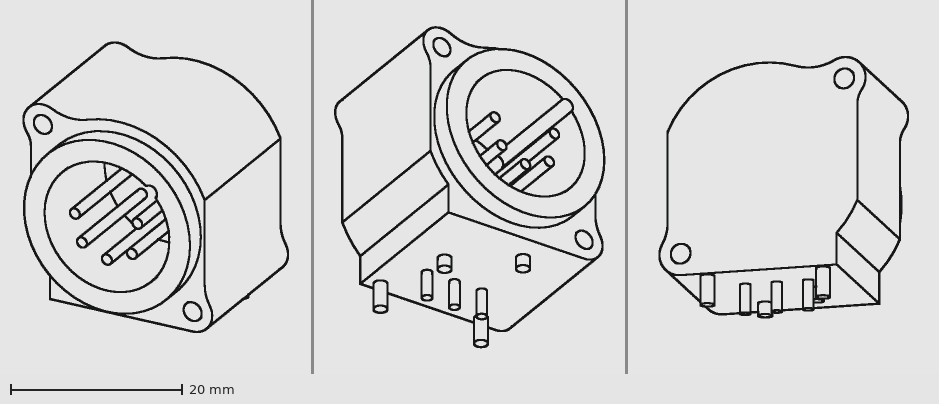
import cadquery as cq
import math

BODY_DEPTH = 18.98
BODY_RADIUS = 12.5
FLAT_X = 11.5
FOOT_X = 9.0
EAR_OFFSET = 9.92
EAR_RADIUS = BODY_RADIUS - EAR_OFFSET
EAR_HOLE_RADIUS = 1.2
TOP_BLEND = 5.98
LEFT_BLEND = 3.0
RIGHT_BLEND = 5.0

BARREL_RADIUS = 11.0
BARREL_LENGTH = 2.7
BORE_RADIUS = 8.26
BORE_DEPTH = 15.0
KEY_RADIUS = 0.88
KEY_DISTANCE = 8.1
KEY_ANGLE = math.radians(45)

CONTACT_RADIUS = 0.65
CONTACTS = [(-4.25, 0.77), (4.02, 1.3), (-3.3, -2.76), (3.3, -2.76), (0, -4.25)]

LEG_LENGTH = 3.48
PEG_LENGTH = 1.5
THICK_RADIUS = 0.83
THIN_RADIUS = 0.63
OUTER_LEG_X = 7.0
INNER_LEG_X = 3.82
OUTER_LEG_Y = BODY_DEPTH - 1.28
INNER_LEG_Y = BODY_DEPTH - 6.38
REAR_PEG_Y = BODY_DEPTH - 10.17
FRONT_PEG_Y = BODY_DEPTH - 15.25


def between(start, end, distance):
    """Point at the given distance from start on the way to end."""
    part = distance / math.dist(start, end)
    return (start[0] + part * (end[0] - start[0]), start[1] + part * (end[1] - start[1]))


def flat_blend(ear, side, radius):
    """Arc tangent to a side flat (side = 1 or -1) and an ear: flat end, middle, ear end."""
    center_x = side * (FLAT_X + radius)
    rise = math.sqrt((EAR_RADIUS + radius) ** 2 - (center_x - ear[0]) ** 2)
    center = (center_x, ear[1] + side * rise)
    flat_end = (side * FLAT_X, center[1])
    ear_end = between(ear, center, EAR_RADIUS)
    chord_middle = ((flat_end[0] + ear_end[0]) / 2, (flat_end[1] + ear_end[1]) / 2)
    return flat_end, between(center, chord_middle, radius), ear_end


def top_blend(ear):
    """Arc tangent to the upper ear and the body arc: ear end, middle, body end."""
    ear_reach = EAR_RADIUS + TOP_BLEND
    body_reach = BODY_RADIUS + TOP_BLEND
    span = math.hypot(*ear)
    along = (body_reach ** 2 - ear_reach ** 2 + span ** 2) / (2 * span)
    angle = math.atan2(ear[1], ear[0]) - math.acos(along / body_reach)
    center = (body_reach * math.cos(angle), body_reach * math.sin(angle))
    ear_end = between(ear, center, EAR_RADIUS)
    body_end = between((0, 0), center, BODY_RADIUS)
    chord_middle = ((ear_end[0] + body_end[0]) / 2, (ear_end[1] + body_end[1]) / 2)
    return ear_end, between(center, chord_middle, TOP_BLEND), body_end


def cylinder(x, z, radius, front_y, length):
    """Cylinder along Y, running back from front_y."""
    return cq.Workplane("XZ", origin=(x, front_y, z)).circle(radius).extrude(-length)


def leg(x, y, radius, length):
    """Round leg hanging below the flat underside."""
    return cq.Workplane("XY", origin=(x, y, -BODY_RADIUS)).circle(radius).extrude(-length)


def make_body():
    upper_ear = (-EAR_OFFSET, EAR_OFFSET)
    lower_ear = (EAR_OFFSET, -EAR_OFFSET)
    left_start, left_middle, left_end = flat_blend(upper_ear, -1, LEFT_BLEND)
    right_start, right_middle, right_end = flat_blend(lower_ear, 1, RIGHT_BLEND)
    top_start, top_middle, top_end = top_blend(upper_ear)
    flat_z = math.sqrt(BODY_RADIUS ** 2 - FLAT_X ** 2)
    foot_z = -math.sqrt(BODY_RADIUS ** 2 - FOOT_X ** 2)
    diagonal = EAR_RADIUS * math.sqrt(0.5)
    corner_x = (FLAT_X + FOOT_X) / 2
    corner_z = -math.sqrt(BODY_RADIUS ** 2 - corner_x ** 2)
    body = (
        cq.Workplane("XZ")
        .moveTo(-FOOT_X, -BODY_RADIUS)
        .lineTo(-FOOT_X, foot_z)
        .threePointArc((-corner_x, corner_z), (-FLAT_X, -flat_z))
        .lineTo(*left_start)
        .threePointArc(left_middle, left_end)
        .threePointArc((upper_ear[0] - diagonal, upper_ear[1] + diagonal), top_start)
        .threePointArc(top_middle, top_end)
        .threePointArc((0, BODY_RADIUS), (FLAT_X, flat_z))
        .lineTo(*right_start)
        .threePointArc(right_middle, right_end)
        .threePointArc((lower_ear[0] + diagonal, lower_ear[1] - diagonal), (EAR_OFFSET, -BODY_RADIUS))
        .close()
        .extrude(-BODY_DEPTH)
    )
    for x, z in (upper_ear, lower_ear):
        body = body.cut(cylinder(x, z, EAR_HOLE_RADIUS, 0, BODY_DEPTH))
    return body


def add_socket(body):
    """Front barrel with its keyed bore and the five contacts standing in it."""
    front_y = -BARREL_LENGTH
    body = body.union(cylinder(0, 0, BARREL_RADIUS, front_y, BARREL_LENGTH))
    body = body.cut(cylinder(0, 0, BORE_RADIUS, front_y, BORE_DEPTH))
    key_x = KEY_DISTANCE * math.cos(KEY_ANGLE)
    key_z = KEY_DISTANCE * math.sin(KEY_ANGLE)
    body = body.cut(cylinder(key_x, key_z, KEY_RADIUS, front_y, BORE_DEPTH))
    for x, z in CONTACTS:
        body = body.union(cylinder(x, z, CONTACT_RADIUS, front_y, BORE_DEPTH))
    return body


def add_legs(body):
    """Five solder legs and two short locating pegs."""
    for side in (-1, 1):
        body = body.union(leg(side * OUTER_LEG_X, OUTER_LEG_Y, THICK_RADIUS, LEG_LENGTH))
        body = body.union(leg(side * INNER_LEG_X, INNER_LEG_Y, THIN_RADIUS, LEG_LENGTH))
    body = body.union(leg(0, INNER_LEG_Y, THIN_RADIUS, LEG_LENGTH))
    body = body.union(leg(-INNER_LEG_X, REAR_PEG_Y, THICK_RADIUS, PEG_LENGTH))
    body = body.union(leg(INNER_LEG_X, FRONT_PEG_Y, THICK_RADIUS, PEG_LENGTH))
    return body


result = add_legs(add_socket(make_body()))